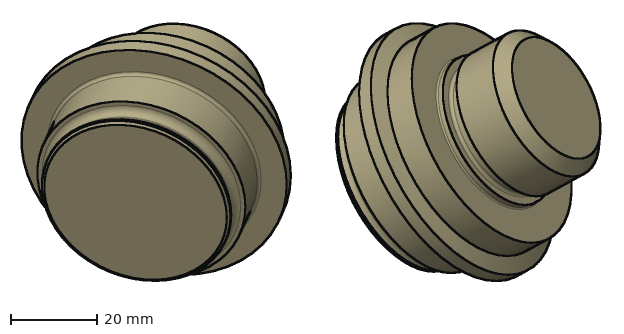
import cadquery as cq
import math


face_radius = 43.95 / 2
lip_radius = 45.4 / 2
ring_groove_radius = face_radius
collar_radius = 50.1 / 2
flange_radius = 63.9 / 2
body_radius = 55.7 / 2
seat_radius = 38.1 / 2
neck_radius = 32.5 / 2
boss_radius = 37.1 / 2

lip_chamfer_length = 0.6
ring_groove_fillet = 1.9
flange_fillet = 0.75
seat_fillet = 0.4
neck_fillet = 0.75
boss_chamfer = 3.1

collar_front = 5.05
flange_front = 16.0
flange_bevel_front = 19.6
body_front = 21.15
body_back = 28.7
seat_back = 30.5
boss_front = 34.3
boss_back = 48.75

groove_floor_length = 0.4
groove_floor_back = collar_front - ring_groove_fillet
groove_floor_front = groove_floor_back - groove_floor_length
lip_rise = lip_radius - ring_groove_radius
lip_round_angle = math.acos(1 - lip_rise / ring_groove_fillet)
lip_back = groove_floor_front - ring_groove_fillet * math.sin(lip_round_angle)


def groove_round_point(angle):
    """Point on the front groove round, at an angle measured from the floor."""
    radius = ring_groove_radius + ring_groove_fillet * (1 - math.cos(angle))
    return radius, groove_floor_front - ring_groove_fillet * math.sin(angle)


def fillet_to_wall(profile, radius, wall, size):
    """Extend the profile along a cylinder, then curve outward into the wall behind it."""
    reach = size * math.sqrt(0.5)
    return (
        profile.lineTo(radius, wall - size)
        .threePointArc((radius + size - reach, wall - size + reach), (radius + size, wall))
    )


def fillet_from_wall(profile, radius, wall, size):
    """Come in along a wall, then curve backward onto the cylinder behind it."""
    reach = size * math.sqrt(0.5)
    return (
        profile.lineTo(radius + size, wall)
        .threePointArc((radius + size - reach, wall + size - reach), (radius, wall + size))
    )


profile = (
    cq.Workplane("XY")
    .lineTo(face_radius, 0)
    .lineTo(lip_radius, lip_chamfer_length)
    .lineTo(lip_radius, lip_back)
    .threePointArc(groove_round_point(lip_round_angle / 2), groove_round_point(0))
)
profile = fillet_to_wall(profile, ring_groove_radius, collar_front, ring_groove_fillet)

profile = profile.lineTo(collar_radius, collar_front)
profile = fillet_to_wall(profile, collar_radius, flange_front, flange_fillet)

profile = (
    profile.lineTo(flange_radius, flange_front)
    .lineTo(flange_radius, flange_bevel_front)
    .lineTo(body_radius, body_front)
    .lineTo(body_radius, body_back)
)

profile = fillet_from_wall(profile, seat_radius, body_back, seat_fillet)
profile = profile.lineTo(seat_radius, seat_back)
profile = fillet_from_wall(profile, neck_radius, seat_back, neck_fillet)
profile = fillet_to_wall(profile, neck_radius, boss_front, neck_fillet)

profile = (
    profile.lineTo(boss_radius, boss_front)
    .lineTo(boss_radius, boss_back - boss_chamfer)
    .lineTo(boss_radius - boss_chamfer, boss_back)
    .lineTo(0, boss_back)
    .close()
)

result = profile.revolve(360, (0, 0, 0), (0, 1, 0))